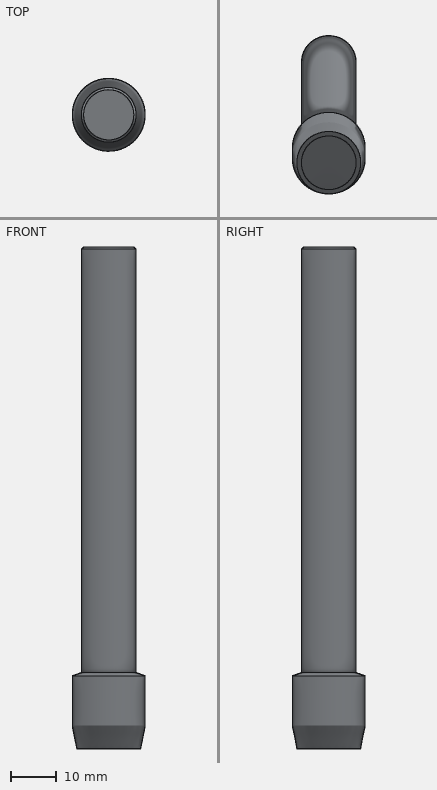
import cadquery as cq

overall_length = 110.0
rod_diameter = 12.0
rod_end_chamfer = 0.5
collar_diameter = 16.0
band_top_height = 16.0
shoulder_rise = 0.7
nose_length = 5.0
nose_end_diameter = 14.0

rod_radius = rod_diameter / 2
collar_radius = collar_diameter / 2
nose_end_radius = nose_end_diameter / 2
collar_length = band_top_height + shoulder_rise


def make_rod():
    """Plain round rod with a chamfered upper end; it runs right through the collar."""
    rod = cq.Workplane("XY").circle(rod_radius).extrude(overall_length)
    return rod.faces(">Z").chamfer(rod_end_chamfer)


def make_collar():
    """Ring around the foot of the rod: tapered nose, straight band and conical shoulder."""
    profile = (
        cq.Workplane("XZ")
        .moveTo(rod_radius, 0)
        .lineTo(nose_end_radius, 0)
        .lineTo(collar_radius, nose_length)
        .lineTo(collar_radius, band_top_height)
        .lineTo(rod_radius, collar_length)
        .close()
    )
    return profile.revolve(360, (0, 0, 0), (0, 1, 0))


rod = make_rod()
collar = make_collar()

result = cq.Compound.makeCompound([rod.val(), collar.val()])